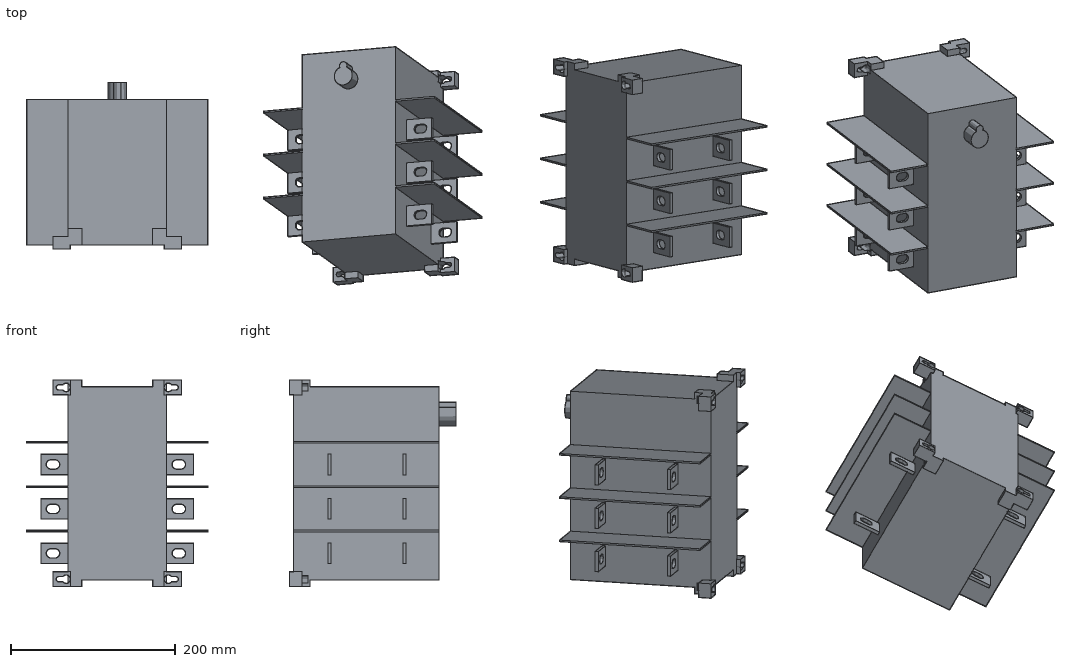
import cadquery as cq

overall_width = 220.0
overall_depth = 202.5
overall_height = 251.0

body_width = 120.0
block_rise = 8.0
foot_standoff = 5.0
knob_length = 20.5
body_bottom = block_rise
body_height = overall_height - 2 * block_rise
body_depth = overall_depth - foot_standoff - knob_length
side_x = body_width / 2

pole_count = 3
pole_pitch = 54.0
barrier_thickness = 2.0
lowest_barrier_z = 67.5
terminal_drop = 27.0
terminal_length = 32.6
terminal_height = 25.0
terminal_thickness = 4.0
terminal_depths = (43.7, 134.8)
terminal_slot_length = 16.0
terminal_slot_width = 11.0
left_slot_offset = 18.0
right_slot_offset = 14.8

block_width = 17.0
block_depth = 20.3
foot_overhang = 18.0
foot_inset = 3.0
foot_height = 18.0
foot_depth = 15.5
keyhole_depth = 22.3
keyhole_head_diameter = 10.0
keyhole_head_offset = 2.0
keyhole_slot_width = 6.0
keyhole_slot_offset = 11.0

knob_diameter = 23.0
knob_z = 206.5
pointer_diameter = 9.5
pointer_offset = 12.8


def box(x_range, y_range, z_range):
    """Box between the given limits; each pair may be in either order."""
    (x0, x1), (y0, y1), (z0, z1) = (sorted(limits) for limits in (x_range, y_range, z_range))
    return cq.Workplane("XY").box(x1 - x0, y1 - y0, z1 - z0, centered=False).translate((x0, y0, z0))


def upright_profile(y):
    """Work plane at depth y with local X, Y along global X, Z; its extrusions run toward -Y."""
    return cq.Workplane("XZ", origin=(0, y, 0))


def barrier(z):
    """Thin plate across the full width and the full housing depth."""
    half_width = overall_width / 2
    half_thickness = barrier_thickness / 2
    return box((-half_width, half_width), (0, body_depth), (z - half_thickness, z + half_thickness))


def terminal_bar(y, z):
    """Flat bar through the housing, with a slotted terminal at each end."""
    half_length = side_x + terminal_length
    left_slot_x = -side_x - left_slot_offset
    right_slot_x = side_x + right_slot_offset
    bar = box(
        (-half_length, half_length),
        (y - terminal_thickness / 2, y + terminal_thickness / 2),
        (z - terminal_height / 2, z + terminal_height / 2),
    )
    slots = (
        upright_profile(y)
        .pushPoints([(left_slot_x, z), (right_slot_x, z)])
        .slot2D(terminal_slot_length, terminal_slot_width)
        .extrude(terminal_thickness, both=True)
    )
    return bar.cut(slots)


def bracket(side, end):
    """Foot and block at one corner; side is the sign of X, end is +1 at the top and -1 at the bottom."""
    middle_z = overall_height / 2
    outer_z = middle_z + end * overall_height / 2
    body_end_z = outer_z - end * block_rise
    block = box(
        (side * (side_x - block_width), side * side_x),
        (0, block_depth),
        (body_end_z, outer_z),
    )
    foot = box(
        (side * (side_x - foot_inset), side * (side_x + foot_overhang)),
        (-foot_standoff, foot_depth - foot_standoff),
        (outer_z - end * foot_height, outer_z),
    )
    return block.union(foot)


def keyhole(side, end):
    """Keyhole cutter for one foot; it also bites into the side of the housing behind the foot."""
    z = overall_height / 2 + end * (overall_height - foot_height) / 2
    back_y = keyhole_depth - foot_standoff
    head_x = side * (side_x + keyhole_head_offset)
    slot_x = side * (side_x + keyhole_slot_offset)
    head = upright_profile(back_y).center(head_x, z).circle(keyhole_head_diameter / 2).extrude(keyhole_depth)
    slot = (
        upright_profile(back_y)
        .center((head_x + slot_x) / 2, z)
        .slot2D(abs(slot_x - head_x) + keyhole_slot_width, keyhole_slot_width)
        .extrude(keyhole_depth)
    )
    return head.union(slot)


def knob():
    """Round knob with a smaller round lobe on its upper side as a pointer."""
    face = upright_profile(body_depth + knob_length)
    hub = face.center(0, knob_z).circle(knob_diameter / 2).extrude(knob_length)
    pointer = face.center(0, knob_z + pointer_offset).circle(pointer_diameter / 2).extrude(knob_length)
    return hub.union(pointer)


result = box((-side_x, side_x), (0, body_depth), (body_bottom, body_bottom + body_height))

for pole in range(pole_count):
    barrier_z = lowest_barrier_z + pole * pole_pitch
    result = result.union(barrier(barrier_z))
    for terminal_y in terminal_depths:
        result = result.union(terminal_bar(terminal_y, barrier_z - terminal_drop))

corners = [(side, end) for side in (-1, 1) for end in (-1, 1)]
for side, end in corners:
    result = result.union(bracket(side, end))
for side, end in corners:
    result = result.cut(keyhole(side, end))

result = result.union(knob())